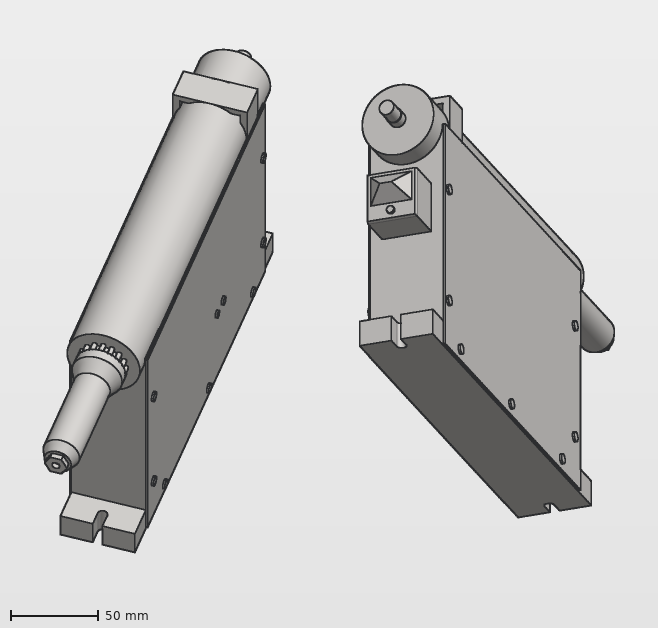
import cadquery as cq
import math


core_width = 45.0
cover_thickness = 1.0
head_height = 1.2
housing_front = -75.8
housing_rear = 138.0
foot_front = -95.7
foot_rear = 154.7
foot_height = 15.5
slot_width = 6.0
slot_depth = 11.5
cover_bottom = 1.0

cover_top = 139.5
rail_front_step = 1.0
rail_front_length = 25.0

screw_diameter = 6.0
edge_screw_front = -66.0
edge_screw_rear = 132.8
edge_screw_low = 30.2
edge_screw_high = 100.0
base_screw_height = 7.5
base_screw_middle = 34.3
base_screw_pitch = 80.0
button_height = 54.2
button_places = [(60.5, 5.0), (49.0, 4.5)]

clamp_front = 108.0
clamp_rear = 127.5
clamp_top = 162.0
window_half_width = 18.2
window_top = 157.8

connector_size = 30.2
connector_height = 88.0
connector_rear = 160.5
flange_thickness = 2.0
flange_taper = 15
hood_width = 25.0
hood_depth = 9.0
hood_height = 92.0
lamp_diameter = 4.5
lamp_length = 1.7
lamp_height = 78.2

tube_diameter = 44.0
axis_height = clamp_top - tube_diameter / 2
tube_front = -85.0
tube_rear = 152.0
shaft_collar_diameter = 9.5
shaft_diameter = 9.0
shaft_step = 158.5
shaft_rear = 169.8

ring_diameter = 25.0
tooth_diameter = 3.0
tooth_count = 16
collar_diameter = 30.2
collar_rear = -90.5
collar_front = -96.7
quill_diameter = 22.0
quill_rear = -106.0
quill_front = -161.5
nose_diameter = 16.0
nose_front = -168.0
nut_flats = 11.5
nut_front = -171.5
nut_hole_diameter = 4.5
nut_hole_depth = 3.5
stud_diameter = 5.0
stud_drop = 15.0
stud_front = -88.5


def box(x_min, x_max, y_min, y_max, z_min, z_max):
    """Box between the given limits."""
    size = (x_max - x_min, y_max - y_min, z_max - z_min)
    return cq.Workplane("XY").box(*size, centered=False).translate((x_min, y_min, z_min))


def centred_box(width, y_min, y_max, z_min, z_max):
    """Box placed symmetrically about X = 0."""
    return box(-width / 2, width / 2, y_min, y_max, z_min, z_max)


def y_cylinder(diameter, y_min, y_max, z, x=0):
    """Cylinder along Y between two Y limits."""
    plane = cq.Plane(origin=(x, y_min, z), xDir=(1, 0, 0), normal=(0, 1, 0))
    return cq.Workplane(plane).circle(diameter / 2).extrude(y_max - y_min)


def foot_slot(open_end, direction):
    """Round-ended slot running into a foot; direction is +1 or -1 along Y."""
    centre = open_end + direction * (slot_depth - slot_width / 2)
    slot = centred_box(slot_width, min(open_end, centre), max(open_end, centre), 0, foot_height)
    slot_end = cq.Workplane("XY").center(0, centre).circle(slot_width / 2).extrude(foot_height)
    return slot.union(slot_end)


def make_core():
    core = centred_box(core_width, housing_front, housing_rear, 0, cover_top)
    rail_rear = housing_front + rail_front_length
    core = core.union(
        centred_box(core_width, housing_front, rail_rear, cover_top, cover_top + rail_front_step)
    )
    core = core.union(centred_box(core_width, foot_front, foot_rear, 0, foot_height))
    return core.cut(foot_slot(foot_front, 1)).cut(foot_slot(foot_rear, -1))


def screw_places():
    places = []
    for y in (edge_screw_front, edge_screw_rear):
        for z in (edge_screw_low, edge_screw_high):
            places.append((y, z))
    for step in (-1, 0, 1):
        places.append((base_screw_middle + step * base_screw_pitch, base_screw_height))
    return places


def side_head(y, z, diameter, side):
    """Flat round head standing on a cover; side is +1 or -1 along X."""
    cover_face = side * (core_width / 2 + cover_thickness)
    return (
        cq.Workplane("YZ", origin=(cover_face, 0, 0))
        .center(y, z)
        .circle(diameter / 2)
        .extrude(side * head_height)
    )


def make_clamp():
    """Clamp block with a window beside the tube in each upper corner."""
    clamp = centred_box(core_width, clamp_front, clamp_rear, cover_top, clamp_top)
    return clamp.cut(
        centred_box(2 * window_half_width, clamp_front, clamp_rear, cover_top, window_top)
    )


def make_connector():
    half = connector_size / 2
    connector = centred_box(
        connector_size, housing_rear, connector_rear, connector_height - half, connector_height + half
    )
    flange_rear = connector_rear + flange_thickness
    plane = cq.Plane(origin=(0, connector_rear, connector_height), xDir=(1, 0, 0), normal=(0, 1, 0))
    flange = (
        cq.Workplane(plane).rect(connector_size, connector_size)
        .extrude(flange_thickness, taper=flange_taper)
    )
    connector = connector.union(flange)
    lamp = y_cylinder(lamp_diameter, flange_rear, flange_rear + lamp_length, lamp_height)
    return connector.union(make_hood(flange_rear)).union(lamp)


def make_hood(base):
    """Hip-roofed hood with 45 degree faces, its ridge along X."""
    side_profile = [(base, hood_height - hood_depth), (base + hood_depth, hood_height),
                    (base, hood_height + hood_depth)]
    hood = (
        cq.Workplane("YZ").polyline(side_profile).close().extrude(hood_width / 2, both=True)
    )
    ridge_half = hood_width / 2 - hood_depth
    plan = [(-hood_width / 2, base), (hood_width / 2, base),
            (ridge_half, base + hood_depth), (-ridge_half, base + hood_depth)]
    hips = (
        cq.Workplane("XY", origin=(0, 0, hood_height))
        .polyline(plan).close().extrude(hood_depth, both=True)
    )
    return hood.intersect(hips)


def make_cover(side):
    """Cover plate with its screw heads; side is +1 or -1 along X. Only the +X one has buttons."""
    inner_face = side * core_width / 2
    outer_face = side * (core_width / 2 + cover_thickness)
    cover = box(
        min(inner_face, outer_face), max(inner_face, outer_face),
        housing_front, housing_rear, cover_bottom, cover_top,
    )
    for y, z in screw_places():
        cover = cover.union(side_head(y, z, screw_diameter, side))
    if side > 0:
        for y, diameter in button_places:
            cover = cover.union(side_head(y, button_height, diameter, side))
    return cover


def make_tube():
    tube = y_cylinder(tube_diameter, tube_front, tube_rear, axis_height)
    tube = tube.union(y_cylinder(shaft_collar_diameter, tube_rear, shaft_step, axis_height))
    return tube.union(y_cylinder(shaft_diameter, shaft_step, shaft_rear, axis_height))


def make_quill():
    half_section = [
        (0, tube_front), (ring_diameter / 2, tube_front), (ring_diameter / 2, collar_rear),
        (collar_diameter / 2, collar_rear), (collar_diameter / 2, collar_front),
        (quill_diameter / 2, quill_rear), (quill_diameter / 2, quill_front),
        (nose_diameter / 2, nose_front), (0, nose_front),
    ]
    quill = (
        cq.Workplane("XY").polyline(half_section).close()
        .revolve(360, (0, 0), (0, 1)).translate((0, 0, axis_height))
    )
    quill = quill.union(make_teeth())
    quill = quill.union(y_cylinder(stud_diameter, stud_front, tube_front, axis_height - stud_drop))
    return quill.union(make_nut())


def make_teeth():
    """Ring of round teeth between the tube face and the collar."""
    tooth_circle = (collar_diameter - tooth_diameter) / 2
    plane = cq.Plane(origin=(0, collar_rear, axis_height), xDir=(1, 0, 0), normal=(0, 1, 0))
    return (
        cq.Workplane(plane).polarArray(tooth_circle, 0, 360, tooth_count)
        .circle(tooth_diameter / 2).extrude(tube_front - collar_rear)
    )


def make_nut():
    """Hexagonal nut with its corners along X and a centre hole."""
    plane = cq.Plane(origin=(0, nut_front, axis_height), xDir=(1, 0, 0), normal=(0, 1, 0))
    across_corners = nut_flats / math.cos(math.radians(30))
    nut = cq.Workplane(plane).polygon(6, across_corners).extrude(nose_front - nut_front)
    hole = y_cylinder(nut_hole_diameter, nut_front, nut_front + nut_hole_depth, axis_height)
    return nut.cut(hole)


def make_drill_unit():
    """Core, clamp, connector, tube and quill in one piece."""
    unit = make_core().union(make_clamp()).union(make_connector())
    return unit.union(make_tube()).union(make_quill())


drill_unit = make_drill_unit()
covers = [make_cover(side).val() for side in (-1, 1)]

result = cq.Compound.makeCompound([drill_unit.val(), *covers])